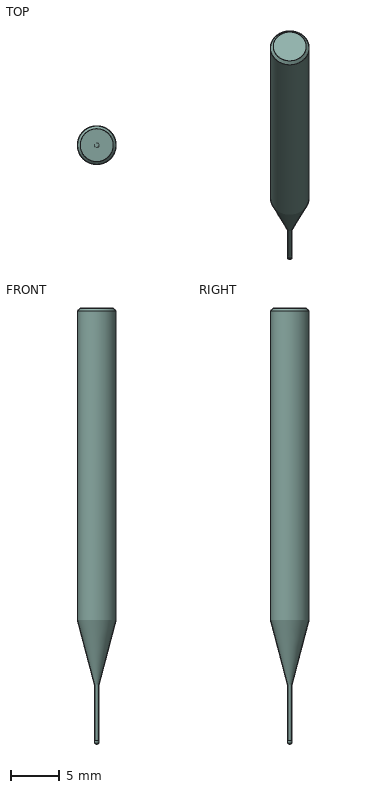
import cadquery as cq
import math

overall_length = 45.0

head_diameter = 0.5
head_radius = head_diameter / 2
head_length = 0.4

neck_diameter = 0.46
neck_radius = neck_diameter / 2
neck_top = 6.12
shoulder_radius = 0.29
shoulder_top = 6.33
cone_top = 12.8
shank_diameter = 4.0
shank_radius = shank_diameter / 2
shank_chamfer = 0.3


def revolve_about_z(profile):
    """Turn a closed radius-height profile a full turn about Z."""
    return profile.close().revolve(360, (0, 0, 0), (0, 1, 0))


def make_cutting_head():
    """Ball-nosed cutting head, flat on top where it meets the neck."""
    arc_offset = head_radius * math.sin(math.radians(45))
    profile = (
        cq.Workplane("XZ")
        .moveTo(0, 0)
        .threePointArc((arc_offset, head_radius - arc_offset), (head_radius, head_radius))
        .lineTo(head_radius, head_length)
        .lineTo(0, head_length)
    )
    return revolve_about_z(profile)


def make_shank():
    """Neck, shoulder, cone and grip turned as one piece, standing on the cutting head."""
    profile = (
        cq.Workplane("XZ")
        .moveTo(0, head_length)
        .lineTo(neck_radius, head_length)
        .lineTo(neck_radius, neck_top)
        .lineTo(shoulder_radius, shoulder_top)
        .lineTo(shank_radius, cone_top)
        .lineTo(shank_radius, overall_length - shank_chamfer)
        .lineTo(shank_radius - shank_chamfer, overall_length)
        .lineTo(0, overall_length)
    )
    return revolve_about_z(profile)


cutting_head = make_cutting_head()
shank = make_shank()

result = cq.Compound.makeCompound([cutting_head.val(), shank.val()])